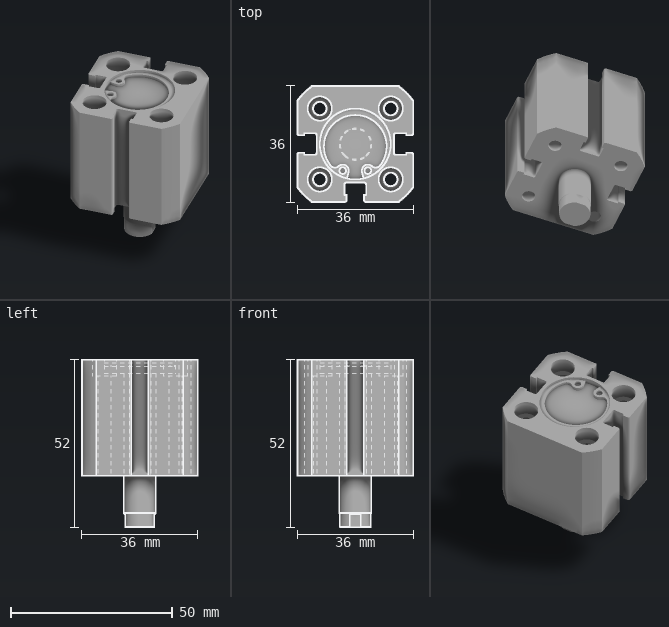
import cadquery as cq
import math


TOTAL_HEIGHT = 52.0
HOUSING_SIDE = 36.0
HOUSING_HEIGHT = 36.05
HALF_SIDE = HOUSING_SIDE / 2
CORNER_RADIUS = 22.45
HOLE_PITCH = 22.0
HOLE_DIAMETER = 4.1
COUNTERBORE_DIAMETER = 7.55
COUNTERBORE_DEPTH = 5.05

SLOT_DEPTH = 6.0
SLOT_WIDTH = 6.65
SLOT_MOUTH_WIDTH = 5.4
SLOT_MOUTH_DEPTH = 2.25
SLOT_ROUNDING = 0.5
SLOT_TURNS = (-90, 0, 90)

RECESS_DIAMETER = 22.0
RECESS_RADIUS = RECESS_DIAMETER / 2
RING_SETBACK = 1.0
RING_THICKNESS = 1.05
CAP_THICKNESS = 2.2
RING_TOP = HOUSING_HEIGHT - RING_SETBACK
CAP_TOP = RING_TOP - RING_THICKNESS
CAP_BOTTOM = CAP_TOP - CAP_THICKNESS

RING_OPENING_RADIUS = 9.7
RING_OPENING_Y = -0.75
LUG_X = 3.9
LUG_Y = -8.25
LUG_RADIUS = 1.85
LUG_BLEND_RADIUS = 1.75
PLIER_HOLE_DIAMETER = 2.1
RING_GAP_X = 2.55

ROD_RADIUS = 5.0
ROD_TIP_RADIUS = 4.85
ROD_TIP_LENGTH = 4.45
ROD_TIP_CHAMFER = 0.1
ROD_FLATS_WIDTH = 9.05
ROD_END = HOUSING_HEIGHT - TOTAL_HEIGHT
ROD_SHOULDER = ROD_END + ROD_TIP_LENGTH


def cylinder(radius, bottom, top):
    return cq.Workplane("XY").workplane(offset=bottom).circle(radius).extrude(top - bottom)


def slot_cutter():
    """T-slot through the full height of the -Y side, with rounded floor corners and mouth edges."""
    floor_y = SLOT_DEPTH - HALF_SIDE
    mouth_y = SLOT_MOUTH_DEPTH - HALF_SIDE
    half_width = SLOT_WIDTH / 2
    half_mouth = SLOT_MOUTH_WIDTH / 2
    channel = (
        cq.Workplane("XY")
        .moveTo(0, (floor_y + mouth_y) / 2)
        .rect(SLOT_WIDTH, floor_y - mouth_y)
        .extrude(HOUSING_HEIGHT)
        .edges("|Z and >Y")
        .fillet(SLOT_ROUNDING)
    )
    flare = half_mouth + SLOT_ROUNDING
    lip_y = SLOT_ROUNDING - HALF_SIDE
    arc_inset = SLOT_ROUNDING * (1 - math.sqrt(0.5))
    mouth = (
        cq.Workplane("XY")
        .moveTo(-flare, -HALF_SIDE)
        .threePointArc((-half_mouth - arc_inset, arc_inset - HALF_SIDE), (-half_mouth, lip_y))
        .lineTo(-half_mouth, mouth_y)
        .lineTo(half_mouth, mouth_y)
        .lineTo(half_mouth, lip_y)
        .threePointArc((half_mouth + arc_inset, arc_inset - HALF_SIDE), (flare, -HALF_SIDE))
        .close()
        .extrude(HOUSING_HEIGHT)
    )
    return channel.union(mouth)


def make_housing():
    block = cq.Workplane("XY").rect(HOUSING_SIDE, HOUSING_SIDE).extrude(HOUSING_HEIGHT)
    housing = block.intersect(cylinder(CORNER_RADIUS, 0, HOUSING_HEIGHT))
    slot = slot_cutter()
    for turn in SLOT_TURNS:
        housing = housing.cut(slot.rotate((0, 0, 0), (0, 0, 1), turn))
    housing = (
        housing.faces(">Z")
        .workplane(origin=(0, 0, HOUSING_HEIGHT))
        .rect(HOLE_PITCH, HOLE_PITCH, forConstruction=True)
        .vertices()
        .cboreHole(HOLE_DIAMETER, COUNTERBORE_DIAMETER, COUNTERBORE_DEPTH)
    )
    housing = housing.cut(cylinder(RECESS_RADIUS, CAP_BOTTOM, HOUSING_HEIGHT))
    return housing.cut(cylinder(ROD_RADIUS, 0, CAP_BOTTOM))


def make_cap():
    return cylinder(RECESS_RADIUS, CAP_BOTTOM, CAP_TOP)


def point_from(center, toward, distance):
    """Point at a distance from center, on the line to another point."""
    span = math.dist(center, toward)
    return tuple(c + (t - c) * distance / span for c, t in zip(center, toward))


def make_snap_ring():
    """Ring open at -Y, with a lug and a plier hole on each side of the gap."""
    opening_center = (0, RING_OPENING_Y)
    lug_center = (LUG_X, LUG_Y)
    to_opening = RING_OPENING_RADIUS - LUG_BLEND_RADIUS
    to_lug = LUG_RADIUS + LUG_BLEND_RADIUS
    lug_span = math.dist(opening_center, lug_center)
    lug_angle = math.atan2(LUG_Y - RING_OPENING_Y, LUG_X)
    blend_offset = math.acos((to_opening**2 + lug_span**2 - to_lug**2) / (2 * to_opening * lug_span))
    blend_angle = lug_angle + blend_offset
    blend_center = (
        to_opening * math.cos(blend_angle),
        RING_OPENING_Y + to_opening * math.sin(blend_angle),
    )
    blend_start = point_from(opening_center, blend_center, RING_OPENING_RADIUS)
    blend_end = point_from(lug_center, blend_center, LUG_RADIUS)
    blend_chord_middle = tuple((a + b) / 2 for a, b in zip(blend_start, blend_end))
    blend_middle = point_from(blend_center, blend_chord_middle, LUG_BLEND_RADIUS)

    rim_corner = (RING_GAP_X, -math.sqrt(RECESS_RADIUS**2 - RING_GAP_X**2))
    rim_angle = math.atan2(rim_corner[1] - LUG_Y, rim_corner[0] - LUG_X)
    tangent_angle = rim_angle - math.acos(LUG_RADIUS / math.dist(lug_center, rim_corner))
    lug_end = (
        LUG_X + LUG_RADIUS * math.cos(tangent_angle),
        LUG_Y + LUG_RADIUS * math.sin(tangent_angle),
    )
    lug_chord_middle = tuple((a + b) / 2 for a, b in zip(blend_end, lug_end))
    lug_middle = point_from(lug_center, lug_chord_middle, LUG_RADIUS)

    def mirrored(point):
        return (-point[0], point[1])

    return (
        cq.Workplane("XY")
        .workplane(offset=CAP_TOP)
        .moveTo(*rim_corner)
        .lineTo(*lug_end)
        .threePointArc(lug_middle, blend_end)
        .threePointArc(blend_middle, blend_start)
        .threePointArc((0, RING_OPENING_Y + RING_OPENING_RADIUS), mirrored(blend_start))
        .threePointArc(mirrored(blend_middle), mirrored(blend_end))
        .threePointArc(mirrored(lug_middle), mirrored(lug_end))
        .lineTo(*mirrored(rim_corner))
        .threePointArc((0, RECESS_RADIUS), rim_corner)
        .close()
        .pushPoints([lug_center, mirrored(lug_center)])
        .circle(PLIER_HOLE_DIAMETER / 2)
        .extrude(RING_THICKNESS)
    )


def make_rod():
    """Round rod with a conical shoulder, a slimmer tip and two flats facing -Y and +Y.

    A 45 degree slope runs out of the top of each flat.
    """
    profile = (
        cq.Workplane("YZ")
        .moveTo(0, ROD_END)
        .lineTo(ROD_TIP_CHAMFER - ROD_TIP_RADIUS, ROD_END)
        .lineTo(-ROD_TIP_RADIUS, ROD_END + ROD_TIP_CHAMFER)
        .lineTo(-ROD_TIP_RADIUS, ROD_SHOULDER - (ROD_RADIUS - ROD_TIP_RADIUS))
        .lineTo(-ROD_RADIUS, ROD_SHOULDER)
        .lineTo(-ROD_RADIUS, CAP_BOTTOM)
        .lineTo(0, CAP_BOTTOM)
        .close()
    )
    rod = profile.revolve(360, (0, 0), (0, 1))
    half_flats = ROD_FLATS_WIDTH / 2
    slope_bottom = ROD_SHOULDER - (ROD_RADIUS - half_flats)
    flat_cutter = (
        cq.Workplane("YZ")
        .moveTo(-half_flats, ROD_END)
        .lineTo(-half_flats, slope_bottom)
        .lineTo(-ROD_RADIUS, ROD_SHOULDER)
        .lineTo(-ROD_RADIUS, ROD_END)
        .close()
        .extrude(ROD_RADIUS, both=True)
    )
    return rod.cut(flat_cutter).cut(flat_cutter.mirror("XZ"))


housing = make_housing()
cap = make_cap()
snap_ring = make_snap_ring()
rod = make_rod()

result = cq.Compound.makeCompound([housing.val(), cap.val(), snap_ring.val(), rod.val()])